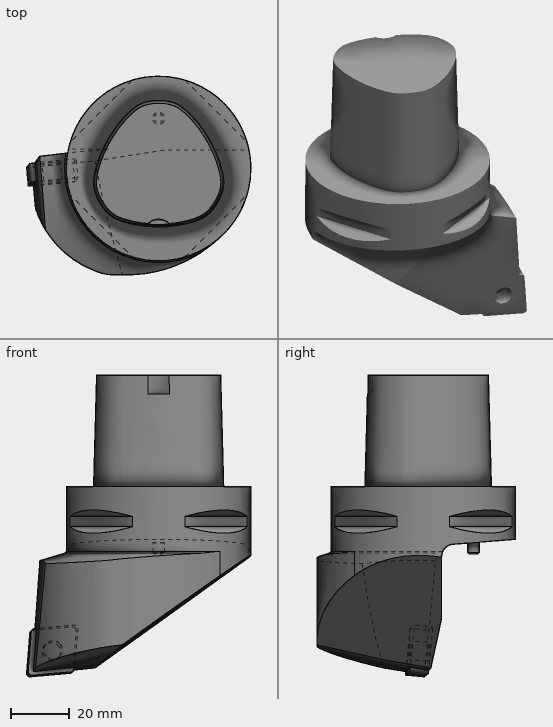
import cadquery as cq
import math


shank_height = 38.0
base_mean, base_lobe, base_ripple = 21.9, 1.6, -0.3
lobe_half_angle = 41.0
spline_steps = 8
shank_taper = 1.0
notch_radius = 4.9
notch_depth = 1.6
notch_height = 6.4

flange_radius = 31.5
flange_height = 22.1
rim_step = 0.6
slot_distance = 27.7
slot_center_z = -11.9
slot_floor_width = 3.5
slot_flare = math.tan(math.radians(30))

total_height = 103.0
bottom_z = shank_height - total_height
head_front_y = -36.4
shoulder_slope = 0.3
reach = 61.8

wall_y = 6.3
ceiling_edge_z = -18.0
ceiling_slope = 0.08
wall_fillet = 4.1

heel_corner = (-42.1, -13.2, -62.0)
flank_normal = (-1.0, -0.08, 0.08)
end_normal = (0.12, -0.15, -1.0)
relief_normal = (0.12, -0.19, -1.0)
underside_normal = (0.72, -0.03, -1.0)
underside_start_z = -23.7

nozzle_diameter = 4.0
nozzle_x, nozzle_y = 0.0, 17.1
nozzle_end_z = -23.1
nozzle_chamfer = 0.6

rake_slope_x = 0.09
rake_slope_z = 0.09
insert_tip = (-45.2, 0.2, -65.1)
insert_thickness = 6.4
insert_side = 16.1
insert_angle = 80.0
insert_lead = 5.0
insert_nose_radius = 1.2
insert_hole_diameter = 6.4
rake_normal = (-rake_slope_x, 1.0, -rake_slope_z)


def beyond(point, normal):
    """A large block on the outer side of a plane."""
    return cq.Workplane(cq.Plane(origin=point, normal=normal)).rect(4 * reach, 4 * reach).extrude(2 * reach)


def shank_point(mean, degrees):
    """Outline point whose outward normal is turned by the given angle from +Y."""
    t = math.radians(degrees)
    support = mean + base_lobe * math.cos(3 * t) + base_ripple * math.cos(6 * t)
    slope = -3 * base_lobe * math.sin(3 * t) - 6 * base_ripple * math.sin(6 * t)
    return (
        -support * math.sin(t) - slope * math.cos(t),
        support * math.cos(t) - slope * math.sin(t),
    )


def shank_outline(mean, height):
    """Three rounded lobes joined tangentially by three flatter sides."""
    joints = []
    for lobe in (0, 120, 240):
        joints += [lobe - lobe_half_angle, lobe + lobe_half_angle]
    edges = []
    for start, end in zip(joints, joints[1:] + [joints[0] + 360]):
        angles = [start + (end - start) * i / spline_steps for i in range(spline_steps + 1)]
        points = [cq.Vector(*shank_point(mean, angle), height) for angle in angles]
        tangents = [
            cq.Vector(-math.cos(math.radians(angle)), -math.sin(math.radians(angle)), 0)
            for angle in (start, end)
        ]
        edges.append(cq.Edge.makeSpline(points, tangents=tangents))
    return cq.Wire.assembleEdges(edges)


def make_shank():
    outlines = [
        shank_outline(base_mean, 0),
        shank_outline(base_mean - shank_taper, shank_height),
    ]
    shank = cq.Workplane(cq.Solid.makeLoft(outlines, ruled=True))
    flat_y = -(base_mean - shank_taper - base_lobe + base_ripple)
    notch = (
        cq.Workplane("XY", origin=(0, flat_y + notch_depth - notch_radius, shank_height - notch_height))
        .circle(notch_radius)
        .extrude(notch_height)
    )
    return shank.cut(notch)


def make_flange_slot(angle):
    depth = flange_radius - slot_distance
    half_floor = slot_floor_width / 2
    half_rim = half_floor + depth * slot_flare
    return (
        cq.Workplane("XZ", origin=(0, 0, slot_center_z))
        .polyline([
            (slot_distance, -half_floor),
            (flange_radius, -half_rim),
            (flange_radius, half_rim),
            (slot_distance, half_floor),
        ])
        .close()
        .extrude(flange_radius, both=True)
        .rotate((0, 0, 0), (0, 0, 1), angle)
    )


def make_flange():
    flange = cq.Workplane("XY").circle(flange_radius).extrude(-flange_height)
    for angle in (45, 135, 225, 315):
        flange = flange.cut(make_flange_slot(angle))
    return flange


def make_head_faces():
    """Blocks outside the flat faces of the head."""
    return [
        beyond(insert_tip, rake_normal),
        beyond(heel_corner, flank_normal),
        beyond(heel_corner, end_normal),
        beyond(heel_corner, relief_normal),
        beyond((flange_radius, wall_y, underside_start_z), underside_normal),
    ]


def make_head():
    back_y = wall_y + 2.1
    outline = (
        cq.Workplane("XY", origin=(0, 0, bottom_z))
        .moveTo(20.9, -23.6)
        .lineTo(18.4, -25.8)
        .threePointArc((5.0, -33.5), (-9.6, head_front_y))
        .lineTo(-15.7, head_front_y)
        .threePointArc((-18.8, -35.9), (-21.9, -34.9))
        .threePointArc((-38.4, -21.3), (-43.6, -6.7))
        .lineTo(-44.8, back_y)
        .lineTo(0, back_y)
        .close()
        .extrude(-bottom_z)
    )
    step_radius = flange_radius + rim_step
    step_z = -flange_height - rim_step
    shoulder = (
        cq.Workplane("XZ")
        .polyline([
            (0, -flange_height),
            (flange_radius, -flange_height),
            (step_radius, step_z),
            (reach, step_z - shoulder_slope * (reach - step_radius)),
            (reach, bottom_z),
            (0, bottom_z),
        ])
        .close()
        .revolve(360, (0, 0, 0), (0, 1, 0))
    )
    core = cq.Workplane("XY").circle(flange_radius).extrude(bottom_z)
    head = outline.union(core).intersect(shoulder)
    for outside in make_head_faces():
        head = head.cut(outside)
    return head


def make_back_relief():
    """Open space behind the rake wall, under the sloping flange ceiling."""
    ceiling_wall_z = ceiling_edge_z - ceiling_slope * (flange_radius - wall_y)
    ceiling_reach_z = ceiling_edge_z + ceiling_slope * (reach - flange_radius)
    return (
        cq.Workplane("YZ")
        .polyline([
            (wall_y, -2 * reach),
            (wall_y, ceiling_wall_z),
            (reach, ceiling_reach_z),
            (reach, -2 * reach),
        ])
        .close()
        .extrude(reach, both=True)
        .edges(cq.selectors.NearestToPointSelector((0, wall_y, ceiling_wall_z)))
        .fillet(wall_fillet)
    )


def make_nozzle():
    return (
        cq.Workplane("XY", origin=(nozzle_x, nozzle_y, nozzle_end_z))
        .circle(nozzle_diameter / 2)
        .extrude(-nozzle_end_z - flange_height / 2)
        .faces("<Z")
        .chamfer(nozzle_chamfer)
    )


def make_insert(hole_diameter=None):
    """Insert body; without a hole it is the shape of the holder's pocket."""
    lead = math.radians(insert_lead)
    angle = math.radians(insert_angle)
    along_x, along_z = math.cos(lead), math.sin(lead)
    edge_direction = (along_x, rake_slope_x * along_x + rake_slope_z * along_z, along_z)
    rake_plane = cq.Plane(origin=insert_tip, xDir=edge_direction, normal=rake_normal)
    side_x = insert_side * math.cos(angle)
    side_y = -insert_side * math.sin(angle)
    body = (
        cq.Workplane(rake_plane)
        .polyline([(0, 0), (insert_side, 0), (insert_side + side_x, side_y), (side_x, side_y)])
        .close()
        .extrude(-insert_thickness)
        .edges(cq.selectors.ParallelDirSelector(cq.Vector(*rake_normal)))
        .fillet(insert_nose_radius)
    )
    if hole_diameter is None:
        return body
    hole = (
        cq.Workplane(rake_plane)
        .center((insert_side + side_x) / 2, side_y / 2)
        .circle(hole_diameter / 2)
        .extrude(-insert_thickness)
    )
    return body.cut(hole)


insert = make_insert(insert_hole_diameter)

holder = make_flange().union(make_head()).cut(make_back_relief())
holder = holder.union(make_shank()).union(make_nozzle()).cut(make_insert())

result = cq.Compound.makeCompound([holder.solids().val(), insert.solids().val()])